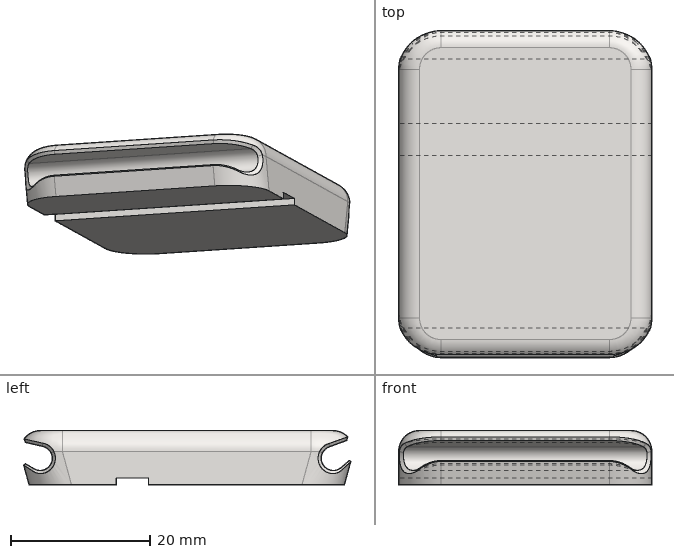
import cadquery as cq
import math

width = 36.4
height = 7.8
base_length = 45.35
seam_length = 48
seam_height = 4.8
corner_radius = 6.1
crown_radius = height - seam_height

groove_radius = 1.75
groove_offset = 21.07
groove_height = 3.8
groove_reach = 5.65
front_upper_slope = 20.0
front_lower_slope = 41.0
back_upper_slope = 13.0
back_lower_slope = 30.8
lip_chamfer = 0.45

touch_tolerance = 0.0005

channel_center = 7.8
channel_width = 4.6
channel_depth = 0.95


def rounded_outline(length):
    """Plan outline of the given length along Y, with rounded corners."""
    return cq.Sketch().rect(width, length).vertices().fillet(corner_radius)


def lower_body():
    """Tray below the seam, growing in length from the base upwards."""
    sections = cq.Workplane("XY").placeSketch(
        rounded_outline(base_length),
        rounded_outline(seam_length).moved(cq.Location(cq.Vector(0, 0, seam_height))),
    )
    return sections.loft(ruled=True)


def crown():
    """Lid above the seam, with a quarter-round running around its top edge."""
    slab = cq.Workplane("XY").placeSketch(rounded_outline(seam_length)).extrude(height)
    slab = slab.faces(">Z").edges().fillet(crown_radius)
    below_seam = cq.Workplane("XY").box(
        2 * width, 2 * seam_length, seam_height, centered=(True, True, False)
    )
    return slab.cut(below_seam)


def groove_cutter(side, upper_slope, lower_slope):
    """Round-bottomed groove whose tangent walls flare out to the end given by side (+1 or -1)."""

    def place(outward, up):
        return (side * (groove_offset + outward), groove_height + up)

    upper = math.radians(upper_slope)
    lower = math.radians(lower_slope)
    upper_tangent = (-groove_radius * math.sin(upper), groove_radius * math.cos(upper))
    lower_tangent = (groove_radius * math.sin(lower), -groove_radius * math.cos(lower))
    upper_mouth = upper_tangent[1] + (groove_reach - upper_tangent[0]) * math.tan(upper)
    lower_mouth = lower_tangent[1] + (groove_reach - lower_tangent[0]) * math.tan(lower)
    profile = (
        cq.Workplane("YZ")
        .moveTo(*place(groove_reach, upper_mouth))
        .lineTo(*place(*upper_tangent))
        .threePointArc(place(-groove_radius, 0), place(*lower_tangent))
        .lineTo(*place(groove_reach, lower_mouth))
        .close()
    )
    return profile.extrude(width, both=True)


def channel_cutter():
    """Rectangular channel crossing the whole underside along X."""
    return (
        cq.Workplane("XY")
        .center(0, channel_center)
        .box(2 * width, channel_width, channel_depth, centered=(True, True, False))
    )


def cut_groove(body, cutter):
    """Cut a groove and bevel the rim where it breaks through the outer skin."""
    outer_skin = body.val().Shells()[0]
    grooved = body.cut(cutter)
    rim = []
    for edge in grooved.edges().vals():
        middle = cq.Vertex.makeVertex(*edge.positionAt(0.5).toTuple())
        on_groove = middle.distance(cutter.val()) < touch_tolerance
        if on_groove and middle.distance(outer_skin) < touch_tolerance:
            rim.append(edge)
    return grooved.newObject(rim).chamfer(lip_chamfer)


front_groove = groove_cutter(-1, front_upper_slope, front_lower_slope)
back_groove = groove_cutter(1, back_upper_slope, back_lower_slope)

result = lower_body().union(crown())
result = cut_groove(result, front_groove)
result = cut_groove(result, back_groove)
result = result.cut(channel_cutter())